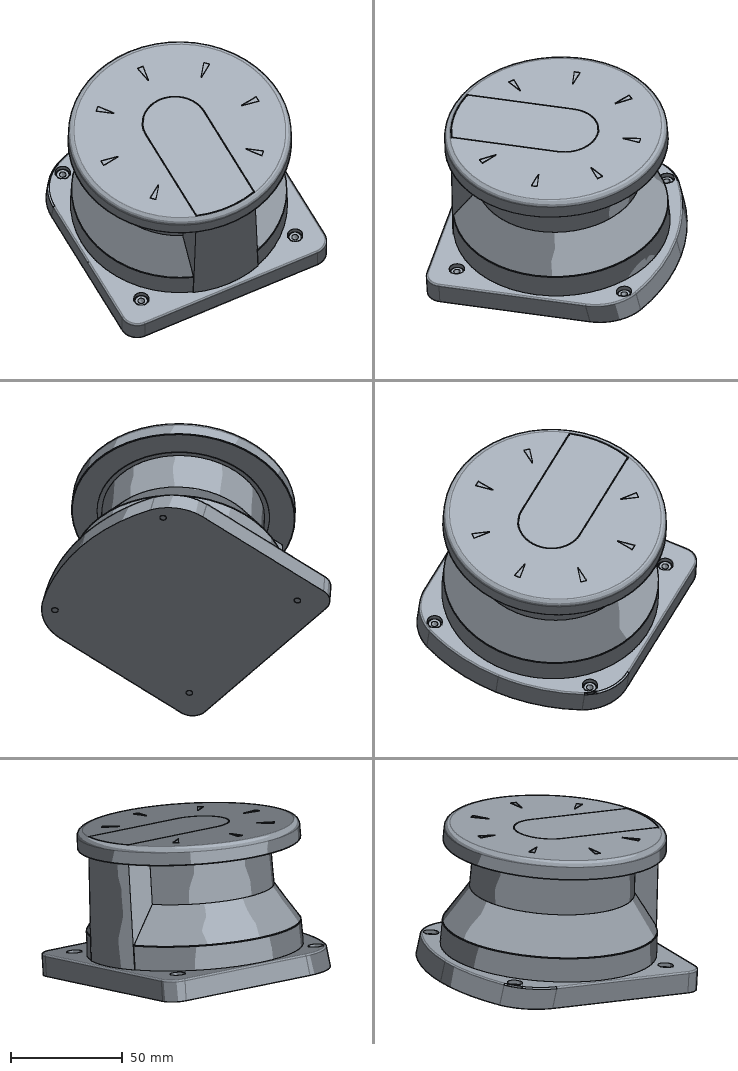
import cadquery as cq
import math

TILT_ABOUT_Y = 3.1
TILT_ABOUT_X = 1.1

WALL_TAPER = 1.7
TAPER_SLOPE = math.tan(math.radians(WALL_TAPER))

PLATE_THICKNESS = 9.9
PLATE_WIDTH = 101.6
PLATE_RIGHT = 51.3
PLATE_LEFT = 54.6
PLATE_RIGHT_CORNER = 7.5
LEFT_ARC_RADIUS = 88.6
LEFT_ARC_END_Y = 38.6
LEFT_CORNER_RADIUS = 23.0
LEFT_CORNER_END = 25.5
LEFT_LEAN = 1.7
PLATE_EDGE_FILLET = 0.8

SCREW_SPACING = 77.1
SCREW_HOLE_DIAMETER = 6.8
SCREW_HEAD_DIAMETER = 6.7
SCREW_HEAD_TOP_DIAMETER = 5.5
SCREW_SHANK_DIAMETER = 2.9
SCREW_SOCKET_DIAMETER = 2.9
SCREW_SOCKET_DEPTH = 1.6
SCREW_HEAD_HEIGHT = 3.2
SCREW_HEAD_SINK = 1.6
SCREW_END_PROTRUSION = 0.2

DRUM_RADIUS = 48.5
DRUM_TOP = 20.7
COLLAR_RADIUS = 96.0 / 2
COLLAR_HEIGHT = 0.4
WAIST_BOTTOM = 37.7
WAIST_RADIUS = 37.0
RIB_HALF_WIDTH = 16.3
RIB_RADIUS = 48.8

KNOB_BOTTOM = 58.2
KNOB_DIAMETER = 100.0
KNOB_HEIGHT = 8.4
KNOB_FILLET = 2.5
KNOB_BEVEL = 0.3
NECK_RECESS_RADIUS = 38.6
NECK_RECESS_DEPTH = 0.3

PAD_WIDTH = 28.7
PAD_ARC_CENTRE = -4.7
PAD_END_RADIUS = 46.7
PAD_DEPTH = 2.2
PAD_GAP = 0.3

ARROW_OUTER_RADIUS = 38.9
ARROW_INNER_RADIUS = 31.0
ARROW_WIDTH = 2.7
ARROW_TIP_WIDTH = 0.2
ARROW_DEPTH = 0.2
ARROW_COUNT = 8

KNOB_RADIUS = KNOB_DIAMETER / 2
NECK_TOP = KNOB_BOTTOM + NECK_RECESS_DEPTH
KNOB_TOP = KNOB_BOTTOM + KNOB_HEIGHT
SCREW_OFFSET = SCREW_SPACING / 2
SCREW_HEAD_TOP = PLATE_THICKNESS - SCREW_HEAD_SINK
SCREW_HEAD_BOTTOM = SCREW_HEAD_TOP - SCREW_HEAD_HEIGHT
SCREW_POSITIONS = [(x, y) for x in (-SCREW_OFFSET, SCREW_OFFSET) for y in (-SCREW_OFFSET, SCREW_OFFSET)]


def tilted(body):
    """Move a body from the upright local frame to its tilted place."""
    about_y = body.rotate((0, 0, 0), (0, 1, 0), TILT_ABOUT_Y)
    return about_y.rotate((0, 0, 0), (1, 0, 0), TILT_ABOUT_X)


def turned(profile):
    """Turn a (radius, height) outline about the local Z axis, with its seam on the -X side."""
    ring = cq.Workplane("XZ").polyline(profile).close().revolve(360, (0, 0), (0, 1))
    return ring.rotate((0, 0, 0), (0, 0, 1), 180)


def plate_outline(workplane, lean):
    """Plate outline with a bowed left side moved in by lean."""
    half = PLATE_WIDTH / 2
    left = -PLATE_LEFT + lean
    arc_end_x = left + LEFT_ARC_RADIUS - math.sqrt(LEFT_ARC_RADIUS**2 - LEFT_ARC_END_Y**2)
    corner_end_x = -LEFT_CORNER_END + lean
    right_start_x = PLATE_RIGHT - PLATE_RIGHT_CORNER
    right_end_y = half - PLATE_RIGHT_CORNER
    return (
        workplane.moveTo(left, 0)
        .radiusArc((arc_end_x, LEFT_ARC_END_Y), LEFT_ARC_RADIUS)
        .radiusArc((corner_end_x, half), LEFT_CORNER_RADIUS)
        .lineTo(right_start_x, half)
        .radiusArc((PLATE_RIGHT, right_end_y), PLATE_RIGHT_CORNER)
        .lineTo(PLATE_RIGHT, -right_end_y)
        .radiusArc((right_start_x, -half), PLATE_RIGHT_CORNER)
        .lineTo(corner_end_x, -half)
        .radiusArc((arc_end_x, -LEFT_ARC_END_Y), LEFT_CORNER_RADIUS)
        .radiusArc((left, 0), LEFT_ARC_RADIUS)
        .close()
    )


def make_plate():
    """Base plate whose bowed left side leans inward, with four stepped screw holes."""
    bottom = plate_outline(cq.Workplane("XY"), 0)
    both = plate_outline(bottom.workplane(offset=PLATE_THICKNESS), LEFT_LEAN)
    plate = both.loft(ruled=True).faces(">Z").edges().fillet(PLATE_EDGE_FILLET)
    return (
        plate.faces(">Z")
        .workplane(origin=(0, 0, PLATE_THICKNESS))
        .pushPoints(SCREW_POSITIONS)
        .cboreHole(SCREW_SHANK_DIAMETER, SCREW_HOLE_DIAMETER, SCREW_HEAD_SINK + SCREW_HEAD_HEIGHT)
    )


def make_screw():
    """Screw on the local Z axis with a bevelled head and a cone-shaped socket."""
    head_radius = SCREW_HEAD_DIAMETER / 2
    head_top_radius = SCREW_HEAD_TOP_DIAMETER / 2
    shank_radius = SCREW_SHANK_DIAMETER / 2
    profile = [
        (0, -SCREW_END_PROTRUSION),
        (shank_radius, -SCREW_END_PROTRUSION),
        (shank_radius, SCREW_HEAD_BOTTOM),
        (head_radius, SCREW_HEAD_BOTTOM),
        (head_radius, SCREW_HEAD_TOP - (head_radius - head_top_radius)),
        (head_top_radius, SCREW_HEAD_TOP),
        (SCREW_SOCKET_DIAMETER / 2, SCREW_HEAD_TOP),
        (0, SCREW_HEAD_TOP - SCREW_SOCKET_DEPTH),
    ]
    return turned(profile)


def make_waisted_drum():
    """Turned part of the housing: drum, small collar, cone and neck up into the knob recess."""
    profile = [
        (0, PLATE_THICKNESS),
        (DRUM_RADIUS, PLATE_THICKNESS),
        (DRUM_RADIUS - (DRUM_TOP - PLATE_THICKNESS) * TAPER_SLOPE, DRUM_TOP),
        (COLLAR_RADIUS, DRUM_TOP),
        (COLLAR_RADIUS, DRUM_TOP + COLLAR_HEIGHT),
        (WAIST_RADIUS, WAIST_BOTTOM),
        (WAIST_RADIUS - (NECK_TOP - WAIST_BOTTOM) * TAPER_SLOPE, NECK_TOP),
        (0, NECK_TOP),
    ]
    return turned(profile)


def make_rib_cone():
    """Tapered cone that gives the rib its outer face."""
    rise = KNOB_BOTTOM - PLATE_THICKNESS
    profile = [
        (0, PLATE_THICKNESS),
        (RIB_RADIUS, PLATE_THICKNESS),
        (RIB_RADIUS - rise * TAPER_SLOPE, KNOB_BOTTOM),
        (0, KNOB_BOTTOM),
    ]
    return turned(profile)


def make_rib_slab():
    """Slab with drafted sides that stands on the plate on the +X side."""
    rise = KNOB_BOTTOM - PLATE_THICKNESS
    top_half_width = RIB_HALF_WIDTH - rise * TAPER_SLOPE
    profile = [
        (-RIB_HALF_WIDTH, PLATE_THICKNESS),
        (RIB_HALF_WIDTH, PLATE_THICKNESS),
        (top_half_width, KNOB_BOTTOM),
        (-top_half_width, KNOB_BOTTOM),
    ]
    return cq.Workplane("YZ").polyline(profile).close().extrude(2 * RIB_RADIUS)


def make_housing():
    """Waisted drum with a rib on the +X side that stands slightly proud of the drum."""
    rib = make_rib_cone().intersect(make_rib_slab())
    return make_waisted_drum().union(rib)


def pad_shape(width, end_radius):
    """Slab with a round inner end, cut off by a circle about the knob axis."""
    bottom = cq.Workplane("XY", origin=(0, 0, KNOB_TOP - PAD_DEPTH))
    bar = (
        bottom.moveTo(PAD_ARC_CENTRE, width / 2)
        .lineTo(KNOB_RADIUS, width / 2)
        .lineTo(KNOB_RADIUS, -width / 2)
        .lineTo(PAD_ARC_CENTRE, -width / 2)
        .threePointArc((PAD_ARC_CENTRE - width / 2, 0), (PAD_ARC_CENTRE, width / 2))
        .close()
        .extrude(PAD_DEPTH)
    )
    return bar.intersect(bottom.circle(end_radius).extrude(PAD_DEPTH))


def make_arrow_cutter():
    """Inward-pointing wedge on the +X side of the knob top."""
    return (
        cq.Workplane("XY", origin=(0, 0, KNOB_TOP - ARROW_DEPTH))
        .polyline(
            [
                (ARROW_OUTER_RADIUS, -ARROW_WIDTH / 2),
                (ARROW_OUTER_RADIUS, ARROW_WIDTH / 2),
                (ARROW_INNER_RADIUS, ARROW_TIP_WIDTH / 2),
                (ARROW_INNER_RADIUS, -ARROW_TIP_WIDTH / 2),
            ]
        )
        .close()
        .extrude(ARROW_DEPTH)
    )


def make_knob():
    """Tapered disc with a rounded rim, a neck recess, a pad pocket and arrows all round but at the pad."""
    top_radius = KNOB_RADIUS - KNOB_HEIGHT * TAPER_SLOPE
    profile = [
        (0, KNOB_BOTTOM),
        (KNOB_RADIUS - KNOB_BEVEL, KNOB_BOTTOM),
        (KNOB_RADIUS, KNOB_BOTTOM + KNOB_BEVEL),
        (top_radius, KNOB_TOP),
        (0, KNOB_TOP),
    ]
    knob = turned(profile).faces(">Z").edges().fillet(KNOB_FILLET)
    recess = (
        cq.Workplane("XY", origin=(0, 0, KNOB_BOTTOM)).circle(NECK_RECESS_RADIUS).extrude(NECK_RECESS_DEPTH)
    )
    knob = knob.cut(recess).cut(pad_shape(PAD_WIDTH + 2 * PAD_GAP, PAD_END_RADIUS + PAD_GAP))
    for step in range(1, ARROW_COUNT):
        angle = step * 360 / ARROW_COUNT
        knob = knob.cut(make_arrow_cutter().rotate((0, 0, 0), (0, 0, 1), angle))
    return knob


plate = tilted(make_plate())
housing = tilted(make_housing())
knob = tilted(make_knob())
pad = tilted(pad_shape(PAD_WIDTH, PAD_END_RADIUS))
screws = [tilted(make_screw().translate((x, y, 0))) for x, y in SCREW_POSITIONS]

result = cq.Compound.makeCompound(
    [plate.val(), housing.val(), knob.val(), pad.val(), *[screw.val() for screw in screws]]
)